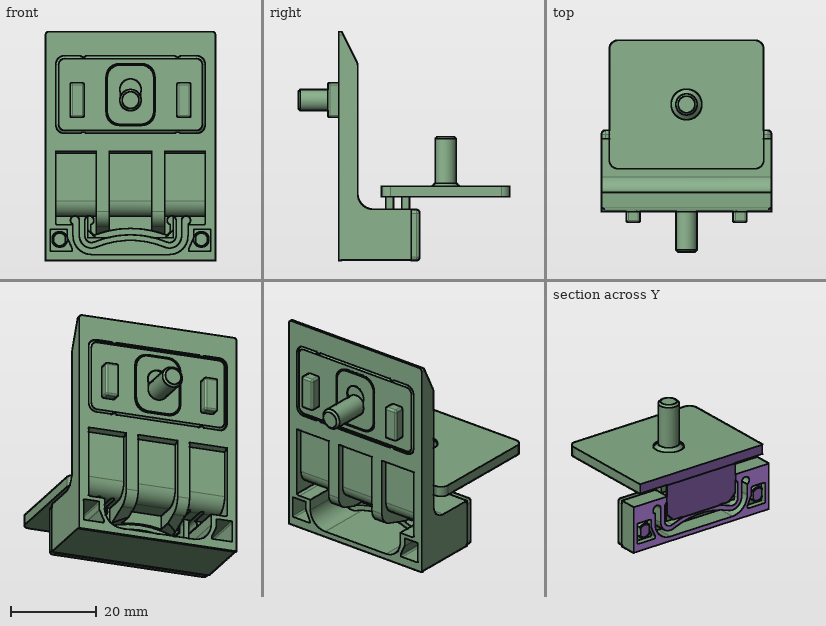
import cadquery as cq
import math


WIDTH = 39.7
HEIGHT = 53.5
UPRIGHT_DEPTH = 4.5
BOX_DEPTH = 16.95
BOX_TOP = 12.05
ROOF_THICKNESS = 1.7
WINDOW_DEPTH = 1.5
BEND_RADIUS = 3.65
TOP_EDGE_DEPTH = 0.75
TOP_EDGE_RADIUS = 0.55
TOP_SLOPE_START = 46.0
TOP_SLOPE_BLEND = 2.15
TOP_CORNER_RADIUS = 0.75
FRONT_LIP_DEPTH = 0.65
UNDERSIDE_STEP = 0.15

CAVITY_HALF_WIDTH = 17.45
CAVITY_DEPTH = 10.15
CAVITY_TOP = 25.55
CAVITY_TOP_DROP = 0.55
LEDGE_Z = 8.35
LEDGE_CORNER_RADIUS = 0.85
LEDGE_CORNER_OVERRUN = 0.2
ROOF_UNDERSIDE = BOX_TOP - ROOF_THICKNESS
RIB_INNER_X = 5.0
RIB_OUTER_X = 7.95
RIB_CURVE_START = 11.55
RIB_SLOPE = math.radians(17)

STRIP_CORNER_X = 9.1
STRIP_CORNER_Z = 5.8
CHANNEL_RADIUS = 4.35
STRIP_OUTER_RADIUS = 2.85
STRIP_INNER_RADIUS = 1.55
STRIP_CROWN_Z = 7.6
WAVE_ANGLE = math.radians(22)
CORE_HALF_WIDTH = 9.25
CORE_CORNER_Z = 6.7
CORE_CROWN_END_X = 8.55
CORE_CROWN_END_Z = 5.95
CORE_CROWN_Z = 7.55
BULB_DIAMETER = 2.1
BULB_Z = 9.4

COVER_THICKNESS = 2.05
COVER_TOP = 12.0
COVER_EDGE_RADIUS = 0.9
PEG_X = 16.55
PEG_Z = 5.0
PEG_DIAMETER = 3.6
PEG_TIP_DIAMETER = 3.0
PEG_FLATS = 2.7
PEG_FRONT = 12.3
POCKET_DEPTH = 13.9
POCKET_OUTER_X = 18.7
POCKET_INNER_X = 14.75
POCKET_TOE_X = 13.6
POCKET_BOTTOM = 2.2
POCKET_TOE_TOP = 2.8
POCKET_SLOPE_TOP = 5.35
POCKET_TOP = 7.4
POCKET_CORNER_RADIUS = 0.3

POLE_THICKNESS = 1.85
STACK_WIDTH = 20.0
STACK_BOTTOM = 5.4
STACK_FRONT = 10.95
POLE_CHAMFER = 1.8

PLATE_WIDTH = 36.05
PLATE_BACK = 40.0
PLATE_LENGTH = 30.0
PLATE_BOTTOM = 14.9
PLATE_THICKNESS = 2.5
PLATE_CORNER_RADIUS = 2.05
STUD_DIAMETER = 5.0
STUD_TIP_CHAMFER = 0.55
PLATE_STUD_TOP = 29.0
PLATE_HOLE_DIAMETER = 7.15
STUD_HEAD_DIAMETER = 9.4
CONE_RISE = 0.7

PAD_WIDTH = 34.9
PAD_HEIGHT = 18.15
PAD_Z = 38.8
PAD_DEPTH = 2.15
PAD_CORNER_RADIUS = 2.05
PAD_CHAMFER = 0.7
BUMP_X = 11.0
BUMP_RADIUS = 0.8
BUMP_PROTRUSION = 0.3
NUB_X = 12.45
NUB_WIDTH = 3.3
NUB_HEIGHT = 8.15
NUB_LENGTH = 2.5
NUB_FILLET = 0.55
NUB_END_FILLET = 0.5
INSERT_WIDTH = 11.45
INSERT_HEIGHT = 14.45
INSERT_DEPTH = 1.6
INSERT_CORNER_RADIUS = 3.2
INSERT_CHAMFER = 0.3
FRONT_STUD_Z = 37.5
DETENT_RISE = 2.45
DETENT_NECK = 4.7
DETENT_DEPTH = 0.3
FRONT_STUD_TIP = -9.45

HALF_WIDTH = WIDTH / 2
BULB_RADIUS = BULB_DIAMETER / 2
BEND_ARC_MID = BEND_RADIUS * (1 - math.sqrt(0.5))
PLATE_CENTER_Y = PLATE_BACK - PLATE_LENGTH / 2
FLOOR_Z = STRIP_CORNER_Z - CHANNEL_RADIUS
PLATE_TOP = PLATE_BOTTOM + PLATE_THICKNESS
STACK_DEPTH = 3 * POLE_THICKNESS


def front_plane(y=0.0):
    """XZ workplane at the given Y; a negative extrusion runs toward +Y."""
    return cq.Workplane("XZ", origin=(0, y, 0))


def box(x_range, y_range, z_range):
    """Axis-aligned block from its limits."""
    size = [high - low for low, high in (x_range, y_range, z_range)]
    corner = cq.Vector(x_range[0], y_range[0], z_range[0])
    return cq.Workplane("XY").box(*size, centered=False).translate(corner)


def extrude_across(profile, x_low, x_high):
    """Extrude a closed YZ profile between two X positions."""
    return profile.extrude(x_high - x_low).translate((x_low, 0, 0))


def housing_blank():
    """L-shaped side outline across the full width, with the sloping top and the front lip."""
    profile = (
        cq.Workplane("YZ")
        .lineTo(FRONT_LIP_DEPTH, 0)
        .lineTo(FRONT_LIP_DEPTH, UNDERSIDE_STEP)
        .lineTo(BOX_DEPTH, UNDERSIDE_STEP)
        .lineTo(BOX_DEPTH, BOX_TOP)
        .lineTo(UPRIGHT_DEPTH + BEND_RADIUS, BOX_TOP)
        .threePointArc(
            (UPRIGHT_DEPTH + BEND_ARC_MID, BOX_TOP + BEND_ARC_MID),
            (UPRIGHT_DEPTH, BOX_TOP + BEND_RADIUS),
        )
        .lineTo(UPRIGHT_DEPTH, TOP_SLOPE_START)
        .lineTo(TOP_EDGE_DEPTH, HEIGHT)
        .lineTo(0, HEIGHT)
        .close()
    )
    blank = extrude_across(profile, -HALF_WIDTH, HALF_WIDTH)
    slope_foot = cq.selectors.NearestToPointSelector((0, UPRIGHT_DEPTH, TOP_SLOPE_START))
    blank = blank.edges(slope_foot).fillet(TOP_SLOPE_BLEND)
    blank = blank.faces(">Z").edges(">Y").fillet(TOP_EDGE_RADIUS)
    front_outline = box((-HALF_WIDTH, HALF_WIDTH), (0, BOX_DEPTH), (0, HEIGHT))
    front_outline = front_outline.faces(">Z").edges("|Y").fillet(TOP_CORNER_RADIUS)
    return blank.intersect(front_outline)


def cavity_front_block():
    """Block with the cavity's front outline: a wide upper part and a round-cornered channel below it."""
    arc_half_width = CAVITY_HALF_WIDTH + LEDGE_CORNER_OVERRUN
    upper = box((-arc_half_width, arc_half_width), (0, CAVITY_DEPTH), (LEDGE_Z, CAVITY_TOP))
    upper = upper.faces("<Z").edges("<X or >X").fillet(LEDGE_CORNER_RADIUS)
    upper = upper.intersect(
        box((-CAVITY_HALF_WIDTH, CAVITY_HALF_WIDTH), (0, CAVITY_DEPTH), (0, HEIGHT))
    )
    return upper.union(channel(CAVITY_DEPTH))


def channel(depth):
    """Channel below the ledges, with rounded bottom corners."""
    half_width = STRIP_CORNER_X + CHANNEL_RADIUS
    body = box((-half_width, half_width), (0, depth), (FLOOR_Z, BULB_Z))
    return body.faces("<Z").edges("<X or >X").fillet(CHANNEL_RADIUS)


def cavity_side_block():
    """Block with the cavity's side outline: window wall, bend and roof underside."""
    profile = (
        cq.Workplane("YZ")
        .lineTo(0, CAVITY_TOP)
        .lineTo(WINDOW_DEPTH, CAVITY_TOP - CAVITY_TOP_DROP)
        .lineTo(WINDOW_DEPTH, ROOF_UNDERSIDE + BEND_RADIUS)
        .threePointArc(
            (WINDOW_DEPTH + BEND_ARC_MID, ROOF_UNDERSIDE + BEND_ARC_MID),
            (WINDOW_DEPTH + BEND_RADIUS, ROOF_UNDERSIDE),
        )
        .lineTo(CAVITY_DEPTH, ROOF_UNDERSIDE)
        .lineTo(CAVITY_DEPTH, 0)
        .close()
    )
    return extrude_across(profile, -HALF_WIDTH, HALF_WIDTH)


def rib(x_low, x_high):
    """Rib between two windows, its lower edge rounded in front and falling toward the back."""
    def curve_point(angle):
        return (
            BEND_RADIUS * (1 - math.cos(angle)),
            RIB_CURVE_START - BEND_RADIUS * math.sin(angle),
        )

    sweep = math.pi / 2 - RIB_SLOPE
    end_y, end_z = curve_point(sweep)
    back_z = end_z - (CAVITY_DEPTH - end_y) * math.tan(RIB_SLOPE)
    profile = (
        cq.Workplane("YZ")
        .moveTo(0, CAVITY_TOP)
        .lineTo(0, RIB_CURVE_START)
        .threePointArc(curve_point(sweep / 2), (end_y, end_z))
        .lineTo(CAVITY_DEPTH, back_z)
        .lineTo(CAVITY_DEPTH, CAVITY_TOP)
        .close()
    )
    return extrude_across(profile, x_low, x_high)


def wave_body(corner_radius):
    """Region above a wave line: straight sides, round corners and an arched middle."""
    side_x = STRIP_CORNER_X + corner_radius
    end_x = STRIP_CORNER_X - corner_radius * math.sin(WAVE_ANGLE)
    end_z = STRIP_CORNER_Z - corner_radius * math.cos(WAVE_ANGLE)
    mid_angle = (math.pi / 2 - WAVE_ANGLE) / 2
    mid_x = STRIP_CORNER_X + corner_radius * math.sin(mid_angle)
    mid_z = STRIP_CORNER_Z - corner_radius * math.cos(mid_angle)
    return (
        front_plane()
        .moveTo(-side_x, ROOF_UNDERSIDE)
        .lineTo(-side_x, STRIP_CORNER_Z)
        .threePointArc((-mid_x, mid_z), (-end_x, end_z))
        .threePointArc((0, STRIP_CROWN_Z - corner_radius), (end_x, end_z))
        .threePointArc((mid_x, mid_z), (side_x, STRIP_CORNER_Z))
        .lineTo(side_x, ROOF_UNDERSIDE)
        .close()
        .extrude(-BOX_DEPTH)
    )


def core_body():
    """Core hanging inside the inner slot: cut corners and an arched underside."""
    return (
        front_plane()
        .moveTo(-CORE_HALF_WIDTH, ROOF_UNDERSIDE)
        .lineTo(-CORE_HALF_WIDTH, CORE_CORNER_Z)
        .lineTo(-CORE_CROWN_END_X, CORE_CROWN_END_Z)
        .threePointArc((0, CORE_CROWN_Z), (CORE_CROWN_END_X, CORE_CROWN_END_Z))
        .lineTo(CORE_HALF_WIDTH, CORE_CORNER_Z)
        .lineTo(CORE_HALF_WIDTH, ROOF_UNDERSIDE)
        .close()
        .extrude(-BOX_DEPTH)
    )


def slot_bulbs(center_x):
    """Pair of round slot ends at mirrored positions."""
    bulbs = front_plane().pushPoints([(-center_x, BULB_Z), (center_x, BULB_Z)])
    return bulbs.circle(BULB_RADIUS).extrude(-BOX_DEPTH)


def strip_slots():
    """Outer and inner slot that leave the wavy strip between them."""
    below_bulbs = box((-HALF_WIDTH, HALF_WIDTH), (0, BOX_DEPTH), (0, BULB_Z))
    outer_side = STRIP_CORNER_X + STRIP_OUTER_RADIUS
    inner_side = STRIP_CORNER_X + STRIP_INNER_RADIUS
    outer_slot = channel(BOX_DEPTH).cut(wave_body(STRIP_OUTER_RADIUS))
    outer_slot = outer_slot.union(slot_bulbs(outer_side + BULB_RADIUS))
    inner_slot = wave_body(STRIP_INNER_RADIUS).cut(core_body()).intersect(below_bulbs)
    inner_slot = inner_slot.union(slot_bulbs(inner_side - BULB_RADIUS))
    return outer_slot, inner_slot


def corner_pocket(side):
    """Pocket in a lower front corner (side is -1 or 1), with a hole for the cover's peg."""
    outline = [
        (POCKET_OUTER_X, POCKET_BOTTOM),
        (POCKET_OUTER_X, POCKET_TOP),
        (POCKET_INNER_X, POCKET_TOP),
        (POCKET_INNER_X, POCKET_SLOPE_TOP),
        (POCKET_TOE_X, POCKET_TOE_TOP),
        (POCKET_TOE_X, POCKET_BOTTOM),
    ]
    pocket = front_plane().polyline([(side * x, z) for x, z in outline]).close()
    pocket = pocket.extrude(-POCKET_DEPTH).edges("|Y").fillet(POCKET_CORNER_RADIUS)
    return pocket.union(peg(side))


def make_housing():
    cavity = cavity_front_block().intersect(cavity_side_block())
    for x_low, x_high in ((-RIB_OUTER_X, -RIB_INNER_X), (RIB_INNER_X, RIB_OUTER_X)):
        cavity = cavity.cut(rib(x_low, x_high))
    body = housing_blank().cut(cavity)
    for slot in strip_slots():
        body = body.cut(slot)
    body = body.cut(
        box(
            (-STACK_WIDTH / 2, STACK_WIDTH / 2),
            (STACK_FRONT, STACK_FRONT + STACK_DEPTH),
            (STACK_BOTTOM, BOX_TOP),
        )
    )
    for side in (-1, 1):
        body = body.cut(corner_pocket(side))
    return body.cut(pad_blank().cut(pad_bumps()))


def peg(side):
    """Round peg with a chamfered tip."""
    chamfer = (PEG_DIAMETER - PEG_TIP_DIAMETER) / 2
    shaft = (
        front_plane(PEG_FRONT)
        .center(side * PEG_X, PEG_Z)
        .circle(PEG_DIAMETER / 2)
        .extrude(PEG_FRONT - BOX_DEPTH)
    )
    return shaft.faces("<Y").chamfer(chamfer)


def flattened_peg(side):
    """Peg trimmed to its two side flats."""
    flats = box(
        (side * PEG_X - PEG_FLATS / 2, side * PEG_X + PEG_FLATS / 2),
        (PEG_FRONT, BOX_DEPTH),
        (0, BOX_TOP),
    )
    return peg(side).intersect(flats)


def make_cover():
    body = box(
        (-HALF_WIDTH, HALF_WIDTH), (BOX_DEPTH, BOX_DEPTH + COVER_THICKNESS), (0, COVER_TOP)
    )
    body = body.edges("|Y").fillet(COVER_EDGE_RADIUS)
    body = body.faces(">Y").edges().fillet(COVER_EDGE_RADIUS)
    for side in (-1, 1):
        body = body.union(flattened_peg(side))
    return body


def make_pole(front_y):
    """Pole plate with cut lower corners, reaching from the stack's bottom to the top plate."""
    body = box(
        (-STACK_WIDTH / 2, STACK_WIDTH / 2),
        (front_y, front_y + POLE_THICKNESS),
        (STACK_BOTTOM, PLATE_BOTTOM),
    )
    return body.faces("<Z").edges("<X or >X").chamfer(POLE_CHAMFER)


def make_magnet():
    """Magnet between the two pole plates, flush with the box roof."""
    front_y = STACK_FRONT + POLE_THICKNESS
    return box(
        (-STACK_WIDTH / 2, STACK_WIDTH / 2),
        (front_y, front_y + POLE_THICKNESS),
        (STACK_BOTTOM, BOX_TOP),
    )


def make_plate_stud():
    """Stud with a countersunk head that ends flush with the plate's underside."""
    shaft_radius = STUD_DIAMETER / 2
    head_radius = STUD_HEAD_DIAMETER / 2
    cone_top = PLATE_TOP + CONE_RISE
    cone_bottom = cone_top - (head_radius - shaft_radius)
    return (
        front_plane(PLATE_CENTER_Y)
        .moveTo(0, PLATE_BOTTOM)
        .lineTo(head_radius, PLATE_BOTTOM)
        .lineTo(head_radius, cone_bottom)
        .lineTo(shaft_radius, cone_top)
        .lineTo(shaft_radius, PLATE_STUD_TOP - STUD_TIP_CHAMFER)
        .lineTo(shaft_radius - STUD_TIP_CHAMFER, PLATE_STUD_TOP)
        .lineTo(0, PLATE_STUD_TOP)
        .close()
        .revolve(360, (0, 0), (0, 1))
    )


def make_plate():
    body = (
        cq.Workplane("XY", origin=(0, PLATE_CENTER_Y, PLATE_BOTTOM))
        .rect(PLATE_WIDTH, PLATE_LENGTH)
        .extrude(PLATE_THICKNESS)
        .edges("|Z")
        .fillet(PLATE_CORNER_RADIUS)
    )
    return body.faces(">Z").workplane().hole(PLATE_HOLE_DIAMETER).cut(make_plate_stud())


def pad_blank():
    """Rounded block that fills the pad recess."""
    body = front_plane().center(0, PAD_Z).rect(PAD_WIDTH, PAD_HEIGHT).extrude(-PAD_DEPTH)
    return body.edges("|Y").fillet(PAD_CORNER_RADIUS)


def pad_bumps():
    """Small round ridges of the recess that bite into the pad's long sides."""
    offset = PAD_HEIGHT / 2 + BUMP_RADIUS - BUMP_PROTRUSION
    points = [(x, PAD_Z + z) for x in (-BUMP_X, BUMP_X) for z in (-offset, offset)]
    return front_plane().pushPoints(points).circle(BUMP_RADIUS).extrude(-PAD_DEPTH)


def insert_blank():
    """Rounded block that fills the insert's seat."""
    body = front_plane().center(0, PAD_Z).rect(INSERT_WIDTH, INSERT_HEIGHT).extrude(-INSERT_DEPTH)
    return body.edges("|Y").fillet(INSERT_CORNER_RADIUS)


def nub(side):
    """Rounded locating nub standing out of the pad."""
    body = front_plane().center(side * NUB_X, FRONT_STUD_Z).rect(NUB_WIDTH, NUB_HEIGHT)
    body = body.extrude(NUB_LENGTH).edges("|Y").fillet(NUB_FILLET)
    return body.faces("<Y").edges().fillet(NUB_END_FILLET)


def make_pad():
    body = pad_blank().faces("<Y").chamfer(PAD_CHAMFER)
    body = body.cut(pad_bumps()).cut(insert_blank())
    for side in (-1, 1):
        body = body.union(nub(side))
    return body


def make_insert():
    """Insert with two shallow detents joined by a slightly narrower neck, and a hole for the stud."""
    body = insert_blank().faces("<Y").chamfer(INSERT_CHAMFER)
    detents = (
        front_plane()
        .pushPoints([(0, FRONT_STUD_Z), (0, FRONT_STUD_Z + DETENT_RISE)])
        .circle(STUD_DIAMETER / 2)
        .extrude(-DETENT_DEPTH)
    )
    neck = (
        front_plane()
        .center(0, FRONT_STUD_Z + DETENT_RISE / 2)
        .rect(DETENT_NECK, DETENT_RISE)
        .extrude(-DETENT_DEPTH)
    )
    return body.cut(detents).cut(neck).cut(make_front_stud())


def make_front_stud():
    """Stud standing in the lower detent and reaching through the insert."""
    body = front_plane(INSERT_DEPTH).center(0, FRONT_STUD_Z).circle(STUD_DIAMETER / 2)
    body = body.extrude(INSERT_DEPTH - FRONT_STUD_TIP)
    return body.faces("<Y").chamfer(STUD_TIP_CHAMFER)


housing = make_housing()
cover = make_cover()
poles = [make_pole(STACK_FRONT + step * POLE_THICKNESS) for step in (0, 2)]
magnet = make_magnet()
plate = make_plate()
plate_stud = make_plate_stud()
pad = make_pad()
insert = make_insert()
front_stud = make_front_stud()

result = cq.Compound.makeCompound(
    [
        housing.val(),
        cover.val(),
        *[pole.val() for pole in poles],
        magnet.val(),
        plate.val(),
        plate_stud.val(),
        pad.val(),
        insert.val(),
        front_stud.val(),
    ]
)